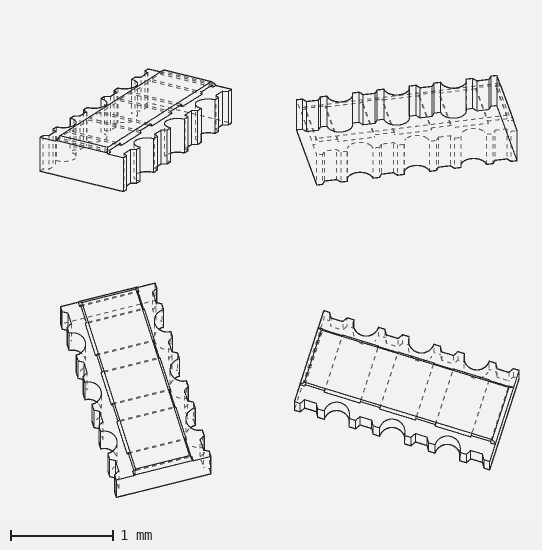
import cadquery as cq

length = 2.0
width = 0.96
total_height = 0.41
body_height = 0.36

terminal_count = 4
terminal_length = 0.3
terminal_pitch = (length - terminal_length) / (terminal_count - 1)

notch_depth = 0.05
notch_mouth = 0.18
notch_floor = 0.12

recess_radius = 0.125

cap_base_width = 0.6
cap_top_width = 0.548
cap_end_bevel = 0.04

tunnel_length = 0.2
tunnel_height = 0.02


def centred_positions(count):
    """Y positions of a row spaced by the terminal pitch and centred on the part."""
    return [(i - (count - 1) / 2) * terminal_pitch for i in range(count)]


terminal_positions = centred_positions(terminal_count)
recess_positions = centred_positions(terminal_count - 1)


def terminal_notch(side, y):
    """Cutter for one notch; side is -1 or +1 for the -X or +X face."""
    face_x = side * width / 2
    floor_x = face_x - side * notch_depth
    return (
        cq.Workplane("XY")
        .polyline([
            (face_x, y - notch_mouth / 2),
            (floor_x, y - notch_floor / 2),
            (floor_x, y + notch_floor / 2),
            (face_x, y + notch_mouth / 2),
        ])
        .close()
        .extrude(body_height)
    )


def make_body():
    body = cq.Workplane("XY").box(width, length, body_height, centered=(True, True, False))
    for side in (-1, 1):
        for y in terminal_positions:
            body = body.cut(terminal_notch(side, y))
        recess_centres = [(side * width / 2, y) for y in recess_positions]
        recesses = cq.Workplane("XY").pushPoints(recess_centres).circle(recess_radius).extrude(body_height)
        body = body.cut(recesses)
    return body


def make_cap():
    cap = (
        cq.Workplane("XZ")
        .polyline([
            (-cap_base_width / 2, body_height),
            (cap_base_width / 2, body_height),
            (cap_top_width / 2, total_height),
            (-cap_top_width / 2, total_height),
        ])
        .close()
        .extrude(length / 2, both=True)
    )
    bevel_start = total_height - cap_end_bevel
    end_profile = (
        cq.Workplane("YZ")
        .polyline([
            (-length / 2, body_height),
            (length / 2, body_height),
            (length / 2, bevel_start),
            (length / 2 - cap_end_bevel, total_height),
            (-length / 2 + cap_end_bevel, total_height),
            (-length / 2, bevel_start),
        ])
        .close()
        .extrude(cap_base_width / 2, both=True)
    )
    tunnels = (
        cq.Workplane("XY", origin=(0, 0, body_height))
        .pushPoints([(0, y) for y in terminal_positions])
        .rect(cap_base_width, tunnel_length)
        .extrude(tunnel_height)
    )
    return cap.intersect(end_profile).cut(tunnels)


result = make_body().union(make_cap())